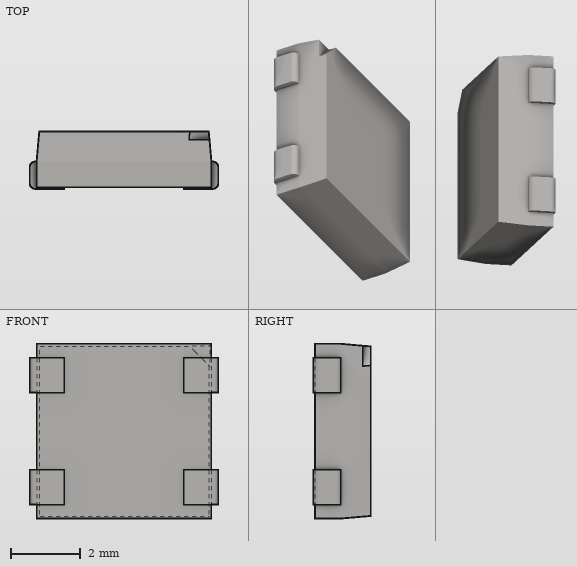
import cadquery as cq
import math

body_side = 5.0
base_depth = 0.745
cap_depth = 0.86
draft_angle = 5.0
corner_cut = 0.545
corner_cut_depth = 0.24

overall_width = 5.4
lead_width = 1.0
lead_spacing = 3.2
lead_foot = 1.0
lead_standoff = 0.05
lead_radius = 0.18

body_back = base_depth + cap_depth
half_width = overall_width / 2
lead_depth = base_depth + lead_standoff


def make_body():
    """Straight base with a cap whose four sides lean inward."""
    base = cq.Workplane("XZ").rect(body_side, body_side).extrude(-base_depth)
    cap = (
        cq.Workplane("XZ", origin=(0, base_depth, 0))
        .rect(body_side, body_side)
        .extrude(-cap_depth, taper=draft_angle)
    )
    return base.union(cap)


def make_corner_cut():
    """Triangular step that marks the +X +Z corner of the back face."""
    back_half = body_side / 2 - cap_depth * math.tan(math.radians(draft_angle))
    inner = back_half - corner_cut
    outer = back_half + corner_cut
    return (
        cq.Workplane("XZ", origin=(0, body_back - corner_cut_depth, 0))
        .polyline([(inner, back_half), (inner - corner_cut, outer), (outer, outer),
                   (outer, inner - corner_cut)])
        .close()
        .extrude(-corner_cut_depth)
    )


def make_lead(side, z_centre):
    """One lead on the +X (side = 1) or -X (side = -1) wall, with rounded outer edges."""
    return (
        cq.Workplane("XY")
        .box(lead_foot, lead_depth, lead_width)
        .edges("|Z and >X" if side > 0 else "|Z and <X")
        .fillet(lead_radius)
        .translate((side * (half_width - lead_foot / 2), lead_depth / 2 - lead_standoff, z_centre))
    )


result = make_body().cut(make_corner_cut())
for side in (-1, 1):
    for z_centre in (-lead_spacing / 2, lead_spacing / 2):
        result = result.union(make_lead(side, z_centre))